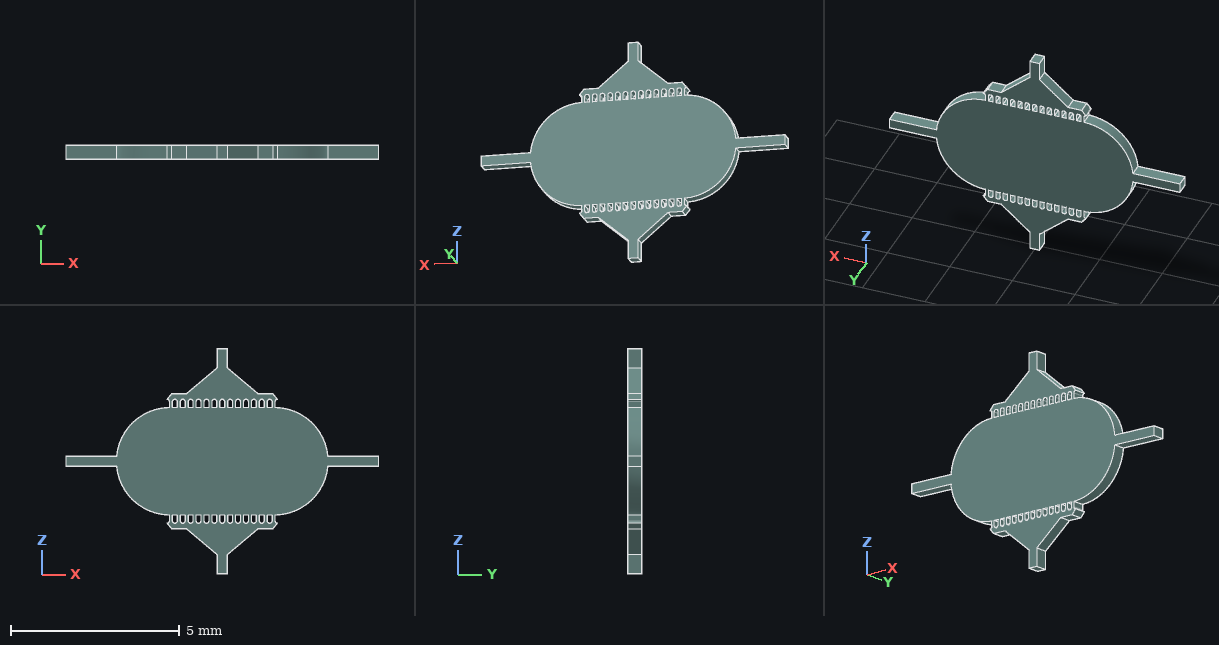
import cadquery as cq
import math

length = 9.29
height = 6.7
thickness = 0.42

body_length = 6.3
body_height = 3.205
lead_width = 0.31

slot_count = 13
slot_width = 0.14
slot_top = 1.84

bar_length = 3.29
bar_top = 2.01
bar_top_half = 1.505
taper_foot_half = 1.07
taper_top = 2.78

body_edge = body_height / 2
slot_radius = slot_width / 2
arch_start = slot_top - slot_radius
bar_tip_half = bar_length / 2
slot_pitch = bar_length / (slot_count + 1)
tooth_outer_half = bar_tip_half - slot_radius
arc_drop = slot_radius * (1 - math.cos(math.radians(45)))


def front_sketch():
    """Sketch plane through the middle of the thickness, with X across and Z up."""
    return cq.Workplane("XZ")


def extrude_plate(outline):
    return outline.extrude(thickness / 2, both=True)


def make_body():
    stadium = extrude_plate(front_sketch().slot2D(body_length, body_height))
    leads = extrude_plate(front_sketch().rect(length, lead_width))
    return stadium.union(leads)


def make_slot(center_x):
    """Slot with a flat foot on the body edge and a round crown."""
    outline = (
        front_sketch()
        .moveTo(center_x - slot_radius, body_edge)
        .lineTo(center_x - slot_radius, arch_start)
        .threePointArc((center_x, slot_top), (center_x + slot_radius, arch_start))
        .lineTo(center_x + slot_radius, body_edge)
        .close()
    )
    return extrude_plate(outline)


def make_upper_comb():
    """Toothed bar, taper and lead above the body."""
    arc_mid_half = tooth_outer_half + arc_drop
    arc_mid_z = slot_top - arc_drop
    lead_half = lead_width / 2
    outline = (
        front_sketch()
        .moveTo(-tooth_outer_half, 0)
        .lineTo(-tooth_outer_half, arch_start)
        .threePointArc((-arc_mid_half, arc_mid_z), (-bar_tip_half, slot_top))
        .lineTo(-bar_top_half, bar_top)
        .lineTo(-taper_foot_half, bar_top)
        .lineTo(-lead_half, taper_top)
        .lineTo(-lead_half, height / 2)
        .lineTo(lead_half, height / 2)
        .lineTo(lead_half, taper_top)
        .lineTo(taper_foot_half, bar_top)
        .lineTo(bar_top_half, bar_top)
        .lineTo(bar_tip_half, slot_top)
        .threePointArc((arc_mid_half, arc_mid_z), (tooth_outer_half, arch_start))
        .lineTo(tooth_outer_half, 0)
        .close()
    )
    comb = extrude_plate(outline)
    for index in range(slot_count):
        center_x = (index + 1) * slot_pitch - bar_tip_half
        comb = comb.cut(make_slot(center_x))
    return comb


upper_comb = make_upper_comb()
lower_comb = upper_comb.mirror("XY")
result = make_body().union(upper_comb).union(lower_comb)